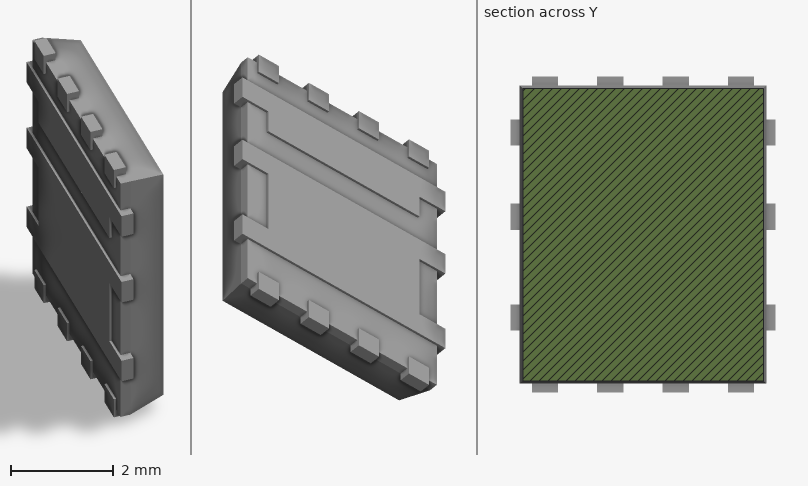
import cadquery as cq
import math

package_width = 5.15
package_thickness = 1.0
package_height = 6.15

body_width = 4.8
body_height = 5.8
draft_angle = 12.0

frame_thickness = 0.25
standoff = 0.05

terminal_count = 4
terminal_pitch = 1.27
terminal_width = 0.51
terminal_length = 0.45

pad_width = 3.84
bar_height = 0.51
upper_pad_top = 2.235
upper_pad_height = 1.03
lower_pad_top = 0.6
lower_pad_height = 2.47

mounting_face = -package_thickness / 2
body_front = mounting_face + standoff
frame_back = mounting_face + frame_thickness
body_back = package_thickness / 2


def frame_block(width, height, center_x, center_z):
    """Rectangular piece of the lead frame."""
    center_y = (mounting_face + frame_back) / 2
    block = cq.Workplane("XY").box(width, frame_thickness, height)
    return block.translate((center_x, center_y, center_z))


def tie_bar(top):
    """Full-width bar hanging down from the given Z level."""
    return frame_block(package_width, bar_height, 0, top - bar_height / 2)


def make_body():
    """Straight-walled front slab with a drafted block behind it."""
    slab_depth = frame_back - body_front
    drafted_depth = body_back - frame_back
    inset = drafted_depth * math.tan(math.radians(draft_angle))

    slab = (
        cq.Workplane("XZ", origin=(0, frame_back, 0))
        .rect(body_width, body_height)
        .extrude(slab_depth)
    )
    drafted_block = (
        cq.Workplane("XZ", origin=(0, frame_back, 0))
        .rect(body_width, body_height)
        .workplane(offset=-drafted_depth)
        .rect(body_width - 2 * inset, body_height - 2 * inset)
        .loft(ruled=True)
    )
    return slab.union(drafted_block)


def make_terminals():
    """Evenly spaced terminals in two mirrored rows."""
    row_z = (package_height - terminal_length) / 2
    first_x = -terminal_pitch * (terminal_count - 1) / 2
    terminals = cq.Workplane("XY")
    for index in range(terminal_count):
        center_x = first_x + index * terminal_pitch
        for side in (-1, 1):
            terminals = terminals.add(
                frame_block(terminal_width, terminal_length, center_x, side * row_z)
            )
    return terminals.combine()


def make_upper_pad():
    """Small pad with one tie bar along its top edge."""
    center_z = upper_pad_top - upper_pad_height / 2
    pad = frame_block(pad_width, upper_pad_height, 0, center_z)
    return pad.union(tie_bar(upper_pad_top))


def make_lower_pad():
    """Large pad with tie bars along its top and bottom edges."""
    center_z = lower_pad_top - lower_pad_height / 2
    lower_bar_top = lower_pad_top - lower_pad_height + bar_height
    pad = frame_block(pad_width, lower_pad_height, 0, center_z)
    return pad.union(tie_bar(lower_pad_top)).union(tie_bar(lower_bar_top))


result = (
    make_body()
    .union(make_terminals())
    .union(make_upper_pad())
    .union(make_lower_pad())
)